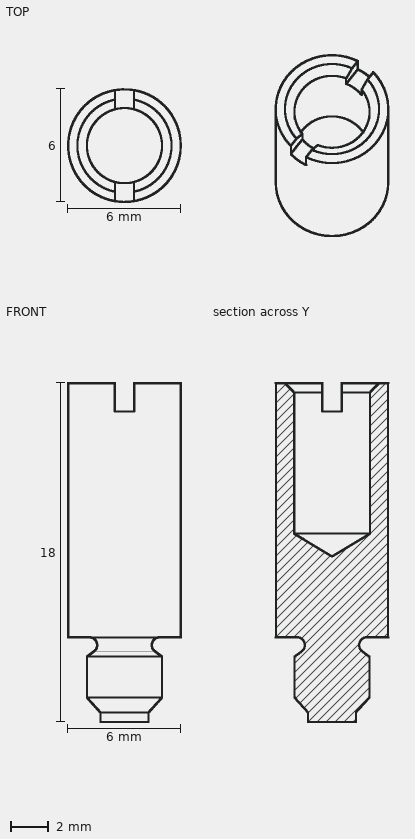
import cadquery as cq
import math

length = 18.0
body_diameter = 6.0
body_radius = body_diameter / 2
body_bottom = 4.5
thread_radius = 2.0
thread_bottom = 1.3
tip_radius = 1.28
tip_height = 0.5

neck_radius = 1.45
neck_arc_radius = 0.41
neck_cone_slope = 36.0

hole_radius = 2.0
hole_depth = 8.0
drill_point_angle = 118.0
mouth_radius = 2.5
mouth_depth = 0.5

slot_width = 1.03
slot_depth = 1.5


def make_stud():
    """Revolve the outside: body, undercut, threaded end and tip."""
    arc_center_x = neck_radius + neck_arc_radius
    arc_center_z = body_bottom - neck_arc_radius
    slope = math.radians(neck_cone_slope)

    arc_end_x = arc_center_x - neck_arc_radius * math.sin(slope)
    arc_end_z = arc_center_z - neck_arc_radius * math.cos(slope)
    thread_top = arc_end_z - (thread_radius - arc_end_x) * math.tan(slope)
    return (
        cq.Workplane("XZ")
        .lineTo(tip_radius, 0)
        .lineTo(tip_radius, tip_height)
        .lineTo(thread_radius, thread_bottom)
        .lineTo(thread_radius, thread_top)
        .lineTo(arc_end_x, arc_end_z)
        .threePointArc((neck_radius, arc_center_z), (arc_center_x, body_bottom))
        .lineTo(body_radius, body_bottom)
        .lineTo(body_radius, length)
        .lineTo(0, length)
        .close()
        .revolve(360, (0, 0), (0, 1))
    )


def make_hole():
    """Revolve the volume removed by the hole."""
    floor = length - hole_depth
    point_depth = hole_radius / math.tan(math.radians(drill_point_angle / 2))
    mouth_bottom = length - mouth_depth
    return (
        cq.Workplane("XZ")
        .moveTo(0, floor - point_depth)
        .lineTo(hole_radius, floor)
        .lineTo(hole_radius, mouth_bottom)
        .lineTo(mouth_radius, length)
        .lineTo(0, length)
        .close()
        .revolve(360, (0, 0), (0, 1))
    )


def make_slot():
    """Slot across the top, running along Y."""
    return (
        cq.Workplane("XY")
        .workplane(offset=length - slot_depth)
        .rect(slot_width, 2 * body_radius)
        .extrude(slot_depth)
    )


result = make_stud().cut(make_hole()).cut(make_slot())